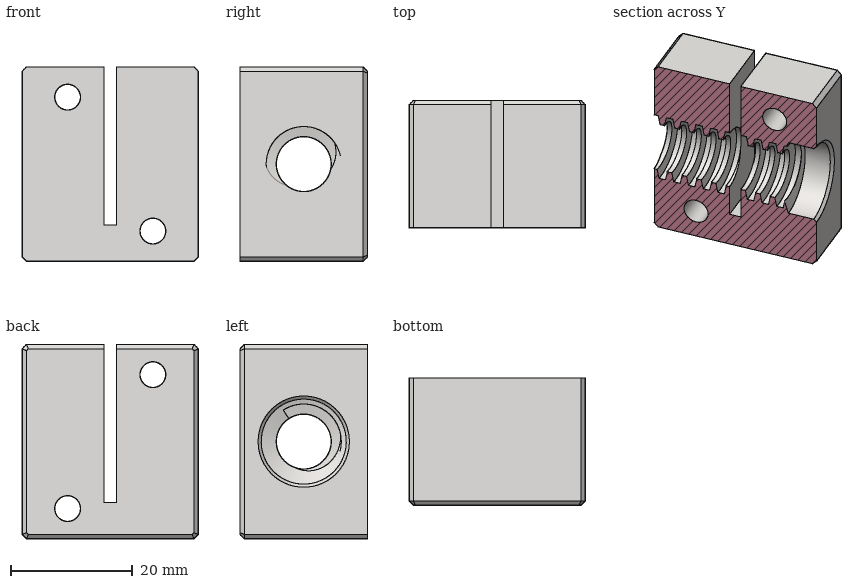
import cadquery as cq

length_x = 29.0
width_y = 21.0
height_z = 32.0
edge_chamfer = 0.75

slot_width = 2.0
slot_depth = 26.0

screw_hole_diameter = 4.2
screw_offset_x = 7.0
screw_offset_z = 11.0

bore_diameter = 9.0
counterbore_diameter = 14.0
counterbore_depth = 5.0
mouth_chamfer = 0.5
floor_cone_depth = 0.8

thread_pitch = 2.62
thread_root_diameter = 12.35
thread_mouth_width = 1.75
thread_root_width = 1.1
thread_start_angle = 57
thread_overrun = 0.15


def make_block():
    """Block with chamfers around its X ends and its rear face."""
    block = cq.Workplane("XY").box(length_x, width_y, height_z)
    block = block.edges("(<X or >X) and |Y").chamfer(edge_chamfer)
    return block.faces(">Y").edges().chamfer(edge_chamfer)


def make_slot():
    return (
        cq.Workplane("XY")
        .workplane(offset=height_z / 2 - slot_depth)
        .rect(slot_width, width_y)
        .extrude(slot_depth)
    )


def make_screw_holes():
    return (
        cq.Workplane("XZ")
        .pushPoints([(-screw_offset_x, screw_offset_z), (screw_offset_x, -screw_offset_z)])
        .circle(screw_hole_diameter / 2)
        .extrude(width_y / 2, both=True)
    )


def make_stepped_bore():
    """Through bore with a chamfered counterbore and a conical floor at the -X end."""
    left = -length_x / 2
    bore_radius = bore_diameter / 2
    counterbore_radius = counterbore_diameter / 2
    half_profile = [
        (left, 0),
        (left, counterbore_radius + mouth_chamfer),
        (left + mouth_chamfer, counterbore_radius),
        (left + counterbore_depth, counterbore_radius),
        (left + counterbore_depth + floor_cone_depth, bore_radius),
        (-left, bore_radius),
        (-left, 0),
    ]
    return cq.Workplane("XZ").polyline(half_profile).close().revolve(360, (0, 0, 0), (1, 0, 0))


def make_thread_groove():
    """Helical groove from the counterbore floor out through the +X face."""
    root_radius = thread_root_diameter / 2
    inner_radius = bore_diameter / 2 - thread_overrun
    flank_slope = (thread_mouth_width - thread_root_width) / (thread_root_diameter - bore_diameter)
    half_root = thread_root_width / 2
    half_inner = half_root + flank_slope * (root_radius - inner_radius)
    groove_length = length_x - counterbore_depth + thread_pitch
    helix = cq.Workplane(cq.Wire.makeHelix(thread_pitch, groove_length, inner_radius))
    groove = (
        cq.Workplane("XZ")
        .polyline(
            [
                (inner_radius, -half_inner),
                (root_radius, -half_root),
                (root_radius, half_root),
                (inner_radius, half_inner),
            ]
        )
        .close()
        .sweep(helix, isFrenet=True)
    )
    return (
        groove.rotate((0, 0, 0), (0, 1, 0), 90)
        .rotate((0, 0, 0), (1, 0, 0), thread_start_angle + 90)
        .translate((counterbore_depth - length_x / 2, 0, 0))
    )


result = (
    make_block()
    .cut(make_thread_groove())
    .cut(make_stepped_bore())
    .cut(make_slot())
    .cut(make_screw_holes())
)